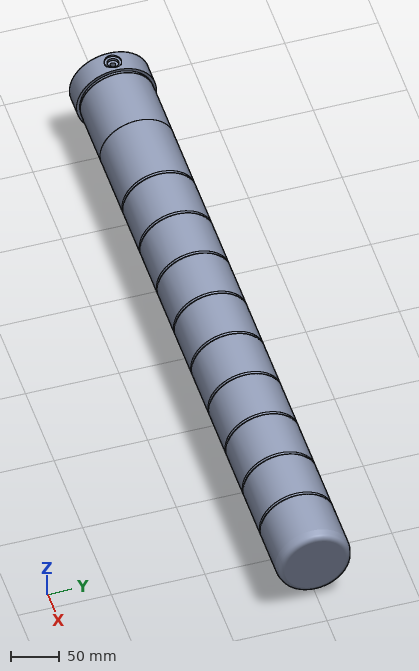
import cadquery as cq
import math

total_length = 720.0
head_length = 25.0
head_diameter = 86.0
shaft_diameter = 80.0

fit_end = 98.0
fit_step = 0.1

relief_width = 3.0
relief_depth = 0.35

groove_count = 9
first_groove = 176.0
last_groove = 655.0
groove_width = 3.0
groove_depth = 1.5

tip_length = 10.0
tip_angle = 15
tip_fillet = 6.0

center_diameter = 5.0
center_depth = 7.0

head_hole_steps = [(18.0, 2.0), (12.0, 5.0), (6.0, 18.0)]

head_radius = head_diameter / 2
groove_pitch = (last_groove - first_groove) / (groove_count - 1)
shaft_radius = shaft_diameter / 2
relief_end = head_length + relief_width
relief_radius = shaft_radius - relief_depth
sliding_radius = shaft_radius - fit_step
tip_start = total_length - tip_length
tip_radius = sliding_radius - tip_length * math.tan(math.radians(tip_angle))


def add_groove(outline, center):
    """Continue the outline along the shaft and through one lubrication groove."""
    half_width = groove_width / 2
    return outline.lineTo(center - half_width, sliding_radius).threePointArc(
        (center, sliding_radius - groove_depth),
        (center + half_width, sliding_radius),
    )


def make_pillar():
    """Revolve the half outline about X and round the rim of the free end."""
    outline = (
        cq.Workplane("XZ")
        .lineTo(0, head_radius)
        .lineTo(head_length, head_radius)
        .lineTo(head_length, relief_radius)
        .lineTo(relief_end, relief_radius)
        .lineTo(relief_end, shaft_radius)
        .lineTo(fit_end, shaft_radius)
        .lineTo(fit_end, sliding_radius)
    )
    for i in range(groove_count):
        outline = add_groove(outline, first_groove + i * groove_pitch)
    outline = (
        outline.lineTo(tip_start, sliding_radius)
        .lineTo(total_length, tip_radius)
        .lineTo(total_length, 0)
        .close()
    )
    pillar = outline.revolve(360, (0, 0, 0), (1, 0, 0))
    return pillar.faces(">X").edges().fillet(tip_fillet)


def head_drill(diameter, depth):
    """Cylinder reaching down from the top of the head, midway along it."""
    top = cq.Workplane("XY", origin=(head_length / 2, 0, head_radius))
    return top.circle(diameter / 2).extrude(-depth)


center_hole = cq.Workplane("YZ").circle(center_diameter / 2).extrude(center_depth)
result = make_pillar().cut(center_hole)
for step_diameter, step_depth in head_hole_steps:
    result = result.cut(head_drill(step_diameter, step_depth))